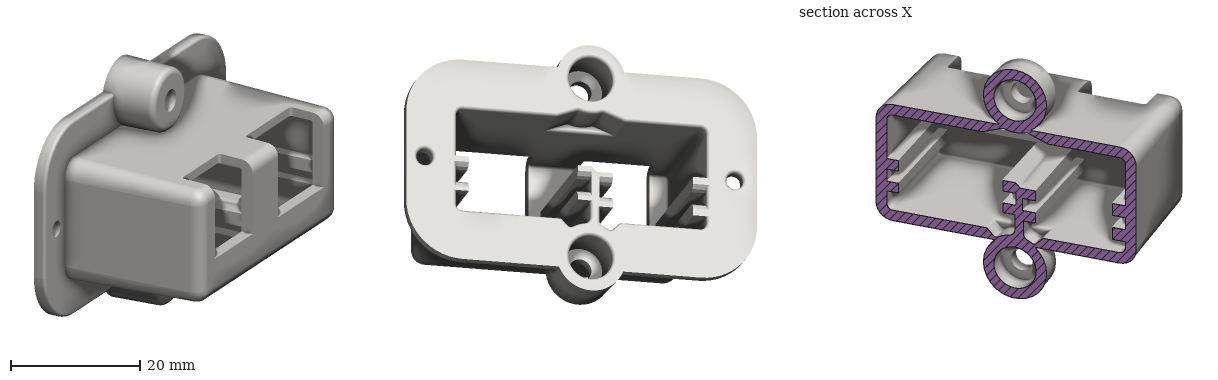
import cadquery as cq
import math


FLANGE_LENGTH = 56.0
FLANGE_HEIGHT = 32.5
FLANGE_THICKNESS = 2.0
FLANGE_CORNER_RADIUS = 9.0
CASE_Z = -0.25
EDGE_RADIUS = 0.5
PIN_HOLE_RADIUS = 1.3
PIN_HOLE_SPACING = 49.5
PIN_HOLE_CENTRE_Y = 0.25

BOSS_RADIUS = 5.49
BOSS_LENGTH = 9.0
BOSS_DRAFT = 2.0
BOSS_END_RADIUS = 1.0
BOSS_Y = -1.5
BOSS_SPACING = 29.0
SCREW_HOLE_RADIUS = 1.8
SCREW_HEAD_RADIUS = 3.5
BOSS_FLOOR = 2.0

CASE_DEPTH = 26.0
CASE_LENGTH = 44.0
CASE_HEIGHT = 20.5
CASE_CORNER_RADIUS = 3.0
CASE_DRAFT = 2.0
CASE_END_RADIUS = 2.0
WALL = 2.0
END_WALL = 2.0
CAVITY_DRAFT = 0.5
CAVITY_END_RADIUS = 0.4
CAVITY_DEPTH = CASE_DEPTH - END_WALL
CAVITY_LENGTH = CASE_LENGTH - 2 * WALL
CAVITY_HEIGHT = CASE_HEIGHT - 2 * WALL
CAVITY_TOP = CASE_Z + CAVITY_HEIGHT / 2
CAVITY_BOTTOM = CASE_Z - CAVITY_HEIGHT / 2

RELIEF_DEPTH = 7.2
RELIEF_CLEARANCE_RADIUS = 5.6
RELIEF_OVERLAP = 1.0
RELIEF_PEAK_RADIUS = 0.6
RELIEF_RIM_RADIUS = 0.5
RELIEF_RIM_BAND = 0.15
TOP_RELIEF_HALF_WIDTH = 5.45
TOP_RELIEF_ANGLE = 20.0
BOTTOM_RELIEF_HALF_WIDTH = 4.7
BOTTOM_RELIEF_ANGLE = 45.0

WINDOWS = [(2.5, 16.5), (-16.85, -5.35)]
WINDOW_START_X = 20.0
WINDOW_BOTTOM = -2.95
WINDOW_CORNER_RADIUS = 0.5

DIVIDER_Y = -2.2
DIVIDER_THICKNESS = 1.2
DIVIDER_LEFT_Y = DIVIDER_Y + DIVIDER_THICKNESS / 2
DIVIDER_FOOT_THICKNESS = 1.5
DIVIDER_FOOT_RADIUS = 1.0
SLOT_GAP = 2.0
LEAD_IN_HEIGHT = 1.0
LEAD_IN_DEPTH = 1.1
LEAD_IN_KNEE_HEIGHT = 0.33
LEAD_IN_KNEE_DEPTH = 0.5
LEFT_SLOT_Z = -2.62
RIGHT_SLOT_Z = -3.3
LEFT_SLOT_ENDS = (0.6, 18.0)
RIGHT_SLOT_ENDS = (-17.8, -5.0)
RAIL_WALL_Y = CAVITY_LENGTH / 2 + WALL / 2
SLOT_FLOOR_DEPTH = 1.0
LEFT_WALL_UPPER_RAIL = (1.9, 2.05)
LEFT_WALL_LOWER_RAIL = (1.7, 2.03)
LEFT_DIVIDER_UPPER_RAIL = (1.9, 1.9)
LEFT_DIVIDER_LOWER_RAIL = (1.7, 2.03)
RIGHT_WALL_UPPER_RAIL = (2.15, 2.15)
RIGHT_WALL_LOWER_RAIL = (2.13, 2.36)
RIGHT_DIVIDER_UPPER_RAIL = (1.72, 2.2)
RIGHT_DIVIDER_LOWER_RAIL = (1.89, 1.89)


def box(x_range, y_range, z_range):
    """Axis-aligned block given by its (low, high) limits."""
    size = [high - low for low, high in (x_range, y_range, z_range)]
    corner = (x_range[0], y_range[0], z_range[0])
    return cq.Workplane("XY").box(*size, centered=False).translate(corner)


def rounded_block(length, height, depth, corner_radius, draft=0.0):
    """Rounded rectangle centred on the case, drafted along +X from X = 0."""
    sketch = cq.Sketch().rect(length, height).vertices().fillet(corner_radius)
    return cq.Workplane("YZ", origin=(0, 0, CASE_Z)).placeSketch(sketch).extrude(depth, taper=draft)


def cylinder(y, z, radius, length, draft=0.0):
    """Round bar from X = 0 along +X, narrowing by the draft angle."""
    return cq.Workplane("YZ", origin=(0, y, z)).circle(radius).extrude(length, taper=draft)


def make_outer_shape():
    flange = rounded_block(FLANGE_LENGTH, FLANGE_HEIGHT, FLANGE_THICKNESS, FLANGE_CORNER_RADIUS)
    flange = flange.faces(">X").edges().fillet(EDGE_RADIUS)
    case = rounded_block(CASE_LENGTH, CASE_HEIGHT, CASE_DEPTH, CASE_CORNER_RADIUS, CASE_DRAFT)
    case = case.faces(">X").edges().fillet(CASE_END_RADIUS)
    shape = flange.union(case)
    for side in (-1, 1):
        boss = cylinder(BOSS_Y, side * BOSS_SPACING / 2, BOSS_RADIUS, BOSS_LENGTH, BOSS_DRAFT)
        shape = shape.union(boss.faces(">X").edges().fillet(BOSS_END_RADIUS))
    return shape


def make_relief(side, wall_z, half_width, slope_angle):
    """Gable-shaped pocket into the cavity wall that stays clear of a boss."""
    slope = math.tan(math.radians(slope_angle))
    base_half_width = half_width + RELIEF_OVERLAP / slope
    base_z = wall_z - side * RELIEF_OVERLAP
    outline = [
        (BOSS_Y - base_half_width, base_z),
        (BOSS_Y, wall_z + side * half_width * slope),
        (BOSS_Y + base_half_width, base_z),
    ]
    gable = cq.Workplane("YZ").polyline(outline).close().extrude(RELIEF_DEPTH)
    relief = gable.cut(cylinder(BOSS_Y, side * BOSS_SPACING / 2, RELIEF_CLEARANCE_RADIUS, RELIEF_DEPTH))
    peaks = ">Z" if side > 0 else "<Z"
    return relief.edges("|X").edges(peaks).fillet(RELIEF_PEAK_RADIUS)


def round_relief_rims(cavity):
    """Round the edges where the reliefs break through the cavity walls."""
    reach = TOP_RELIEF_HALF_WIDTH + RELIEF_RIM_RADIUS
    for wall_z in (CAVITY_TOP, CAVITY_BOTTOM):
        low_corner = (RELIEF_RIM_RADIUS, BOSS_Y - reach, wall_z - RELIEF_RIM_BAND)
        high_corner = (RELIEF_DEPTH + RELIEF_RIM_BAND, BOSS_Y + reach, wall_z + RELIEF_RIM_BAND)
        rims = cq.selectors.BoxSelector(low_corner, high_corner)
        cavity = cavity.edges(rims).fillet(RELIEF_RIM_RADIUS)
    return cavity


def leave_divider_foot(cavity):
    """Keep material for the lower divider wall and round its joint with the case."""
    half = DIVIDER_FOOT_THICKNESS / 2
    foot_y = (DIVIDER_Y - half, DIVIDER_Y + half)
    foot_z = (-CASE_HEIGHT, RIGHT_SLOT_Z - SLOT_GAP / 2 - EDGE_RADIUS)
    cavity = cavity.cut(box((0, CASE_DEPTH), foot_y, foot_z))
    low_corner = (0, foot_y[0] - EDGE_RADIUS, CAVITY_BOTTOM - RELIEF_OVERLAP)
    high_corner = (RELIEF_DEPTH, foot_y[1] + EDGE_RADIUS, CAVITY_BOTTOM + EDGE_RADIUS)
    foot_edges = cq.selectors.BoxSelector(low_corner, high_corner)
    return cavity.edges("|X").edges(foot_edges).fillet(DIVIDER_FOOT_RADIUS)


def make_cavity():
    corner_radius = CASE_CORNER_RADIUS - WALL
    cavity = rounded_block(CAVITY_LENGTH, CAVITY_HEIGHT, CAVITY_DEPTH, corner_radius, CAVITY_DRAFT)
    cavity = cavity.faces(">X").edges().fillet(CAVITY_END_RADIUS)
    cavity = cavity.union(make_relief(1, CAVITY_TOP, TOP_RELIEF_HALF_WIDTH, TOP_RELIEF_ANGLE))
    cavity = cavity.union(make_relief(-1, CAVITY_BOTTOM, BOTTOM_RELIEF_HALF_WIDTH, BOTTOM_RELIEF_ANGLE))
    return round_relief_rims(leave_divider_foot(cavity))


def cut_holes(shape):
    for side in (-1, 1):
        boss_z = side * BOSS_SPACING / 2
        pin_y = PIN_HOLE_CENTRE_Y + side * PIN_HOLE_SPACING / 2
        shape = shape.cut(cylinder(BOSS_Y, boss_z, SCREW_HOLE_RADIUS, BOSS_LENGTH))
        shape = shape.cut(cylinder(BOSS_Y, boss_z, SCREW_HEAD_RADIUS, BOSS_LENGTH - BOSS_FLOOR))
        shape = shape.cut(cylinder(pin_y, CASE_Z, PIN_HOLE_RADIUS, FLANGE_THICKNESS))
    return shape


def round_mouths(shape):
    """Round every hole and cavity edge on the flange face."""
    mouths = [edge for wire in shape.faces("<X").val().innerWires() for edge in wire.Edges()]
    return shape.newObject(mouths).fillet(EDGE_RADIUS)


def make_window(y_range):
    window = box((WINDOW_START_X, CASE_DEPTH), y_range, (WINDOW_BOTTOM, CASE_HEIGHT))
    return window.edges("<X and |Z").fillet(WINDOW_CORNER_RADIUS)


def square_slot_ends(shape):
    """Sharpen the floor corner of the cavity inside the two slots along the case walls."""
    wall_y = CAVITY_LENGTH / 2 - CAVITY_DEPTH * math.tan(math.radians(CAVITY_DRAFT))
    x_range = (CAVITY_DEPTH - SLOT_FLOOR_DEPTH, CAVITY_DEPTH)
    half = SLOT_GAP / 2
    left_y = (LEFT_SLOT_ENDS[1], wall_y)
    right_y = (-wall_y, RIGHT_SLOT_ENDS[0])
    for slot_z, y_range in ((LEFT_SLOT_Z, left_y), (RIGHT_SLOT_Z, right_y)):
        shape = shape.cut(box(x_range, y_range, (slot_z - half, slot_z + half)))
    return shape


def make_rail(side, y_range, slot_z, thickness):
    """Rail above (side 1) or below (side -1) a board slot, with a lead-in at the mouth."""
    inner = slot_z + side * SLOT_GAP / 2
    front_thickness, end_thickness = thickness
    outline = [
        (0, inner + side * front_thickness),
        (0, inner + side * LEAD_IN_HEIGHT),
        (LEAD_IN_KNEE_DEPTH, inner + side * LEAD_IN_KNEE_HEIGHT),
        (LEAD_IN_DEPTH, inner),
        (CAVITY_DEPTH, inner),
        (CAVITY_DEPTH, inner + side * end_thickness),
    ]
    profile = cq.Workplane("XZ", origin=(0, y_range[1], 0)).polyline(outline).close()
    return profile.extrude(y_range[1] - y_range[0])


def add_rails(shape):
    left_wall = (LEFT_SLOT_ENDS[1], RAIL_WALL_Y)
    left_divider = (DIVIDER_LEFT_Y, LEFT_SLOT_ENDS[0])
    right_wall = (-RAIL_WALL_Y, RIGHT_SLOT_ENDS[0])
    right_divider = (RIGHT_SLOT_ENDS[1], DIVIDER_Y)
    rail_pairs = [
        (left_wall, LEFT_SLOT_Z, LEFT_WALL_UPPER_RAIL, LEFT_WALL_LOWER_RAIL),
        (left_divider, LEFT_SLOT_Z, LEFT_DIVIDER_UPPER_RAIL, LEFT_DIVIDER_LOWER_RAIL),
        (right_wall, RIGHT_SLOT_Z, RIGHT_WALL_UPPER_RAIL, RIGHT_WALL_LOWER_RAIL),
        (right_divider, RIGHT_SLOT_Z, RIGHT_DIVIDER_UPPER_RAIL, RIGHT_DIVIDER_LOWER_RAIL),
    ]
    for y_range, slot_z, upper, lower in rail_pairs:
        shape = shape.union(make_rail(1, y_range, slot_z, upper))
        shape = shape.union(make_rail(-1, y_range, slot_z, lower))
    return shape


def add_divider(shape):
    """Upper divider wall, sloping at the top from the left rail down to the right rail."""
    right_y = DIVIDER_Y - DIVIDER_THICKNESS / 2
    reach = SLOT_GAP / 2
    foot_z = RIGHT_SLOT_Z - reach - LEAD_IN_HEIGHT
    left_top = LEFT_SLOT_Z + reach + LEFT_DIVIDER_UPPER_RAIL[0]
    right_top = RIGHT_SLOT_Z + reach + RIGHT_DIVIDER_UPPER_RAIL[0]
    slope_end_y = DIVIDER_LEFT_Y - (left_top - right_top)
    outline = [
        (right_y, foot_z),
        (DIVIDER_LEFT_Y, foot_z),
        (DIVIDER_LEFT_Y, left_top),
        (slope_end_y, right_top),
        (right_y, right_top),
    ]
    return shape.union(cq.Workplane("YZ").polyline(outline).close().extrude(CAVITY_DEPTH))


result = round_mouths(cut_holes(make_outer_shape().cut(make_cavity())))
for window_y in WINDOWS:
    result = result.cut(make_window(window_y))
result = add_divider(add_rails(square_slot_ends(result)))